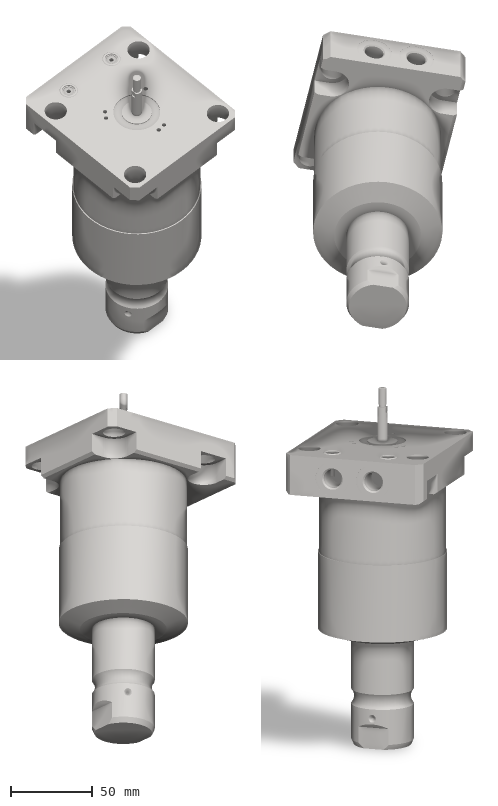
import cadquery as cq
import math


plate_y_half = 44.5
plate_right = 44.5
plate_left = -55.5
plate_thickness = 25.0
plate_corner_chamfer = 4.0
plate_edge_chamfer_height = 1.5
plate_edge_chamfer_width = 2.2

bolt_offset = 35.0
bolt_hole_diameter = 13.6
bolt_seat_depth = 12.0
bolt_clearance_width = 19.9

upper_housing_radius = 38.8
lower_housing_radius = 39.5
lower_housing_top = -69.2
housing_cone_top = -117.5
housing_cone_bottom = -121.6
housing_cone_radius = 26.5

stem_radius = 19.2
stem_bottom = -190.1
stem_groove_top = -155.3
stem_groove_bottom = -164.7
stem_groove_depth = 1.8
stem_chamfer_height = 3.3
stem_chamfer_width = 1.5
flat_distance = 16.5
flat_ramp_top = -174.0
dimple_level = -170.5
dimple_radius = 2.5
dimple_depth = 2.5
dimple_angles = (60, 180, 300)

rod_radius = 3.1
rod_tip_radius = 2.5
rod_neck_radius = 2.2
rod_neck_bottom = 21.2
rod_neck_top = 22.8
rod_top = 33.0
rod_tip_chamfer = 0.7
rod_tip_chamfer_height = 0.2
spot_level = 19.5
spot_radius = 2.12

recess_outer_radius = 14.3
recess_inner_radius = 9.1
recess_depth = 0.7

pin_circle_radius = 19.5
pin_hole_radius = 1.3
pin_hole_depth = 3.3
pin_pitch_angle = 15
pin_angles = (0, pin_pitch_angle, 120, 120 + pin_pitch_angle, 240 - pin_pitch_angle, 240)

inlet_x = -41.3
inlet_y = 18.0
seal_ring_radius = 4.7
seal_wire_radius = 1.1
seal_height = 0.5
inlet_counterbores = ((4.0, 0.5), (3.3, 1.0))
inlet_bore_radius = 1.3
inlet_depth = 15.0

port_y = 13.2
port_level = -13.0
port_radius = 5.8
port_depth = inlet_x - plate_left
port_chamfer = 1.0
port_face_radius = 10.7
port_face_depth = 0.11


def cylinder_between(radius, bottom, top):
    return cq.Workplane("XY").workplane(offset=bottom).circle(radius).extrude(top - bottom)


def clearance_box(center_x, center_y, size_x, size_y):
    """Box reaching from the bolt seat down through the underside of the plate."""
    box = cq.Workplane("XY").box(size_x, size_y, plate_thickness, centered=(True, True, False))
    return box.translate((center_x, center_y, -bolt_seat_depth - plate_thickness))


def edge_wedge(profile_plane, reach, span):
    """Triangular prism that bevels the bottom edge of the plate at coordinate reach."""
    wedge = cq.Workplane(profile_plane).polyline([
        (reach, -plate_thickness),
        (reach - math.copysign(plate_edge_chamfer_width, reach), -plate_thickness),
        (reach, -plate_thickness + plate_edge_chamfer_height),
    ])
    return wedge.close().extrude(span, both=True)


def bolt_clearance(side_x, side_y):
    """Round-ended slot open to the Y side; right-hand slots also open to the +X side."""
    x = side_x * bolt_offset
    y = side_y * bolt_offset
    reach = bolt_clearance_width
    seat = cylinder_between(bolt_clearance_width / 2, -bolt_seat_depth - plate_thickness, -bolt_seat_depth)
    slot = seat.translate((x, y, 0))
    slot = slot.union(clearance_box(x, y + side_y * reach / 2, bolt_clearance_width, reach))
    if side_x > 0:
        slot = slot.union(clearance_box(x + reach / 2, y, reach, bolt_clearance_width))
        slot = slot.union(clearance_box(x + reach / 2, y + side_y * reach / 2, reach, reach))
    return slot


def mounting_plate():
    length = plate_right - plate_left
    plate = cq.Workplane("XY").box(length, 2 * plate_y_half, plate_thickness)
    plate = plate.translate(((plate_right + plate_left) / 2, 0, -plate_thickness / 2))
    plate = plate.edges("|Z").chamfer(plate_corner_chamfer)
    plate = plate.cut(edge_wedge("YZ", plate_y_half, length))
    plate = plate.cut(edge_wedge("YZ", -plate_y_half, length))
    plate = plate.cut(edge_wedge("XZ", plate_right, length))
    bolt_hole = cylinder_between(bolt_hole_diameter / 2, -plate_thickness, 0)
    for side_x in (-1, 1):
        for side_y in (-1, 1):
            plate = plate.cut(bolt_hole.translate((side_x * bolt_offset, side_y * bolt_offset, 0)))
            plate = plate.cut(bolt_clearance(side_x, side_y))
    return plate


def housing_and_stem():
    groove_middle = (stem_groove_top + stem_groove_bottom) / 2
    profile = (
        cq.Workplane("XZ")
        .moveTo(0, -plate_thickness)
        .lineTo(upper_housing_radius, -plate_thickness)
        .lineTo(upper_housing_radius, lower_housing_top)
        .lineTo(lower_housing_radius, lower_housing_top)
        .lineTo(lower_housing_radius, housing_cone_top)
        .lineTo(housing_cone_radius, housing_cone_bottom)
        .lineTo(stem_radius, housing_cone_bottom)
        .lineTo(stem_radius, stem_groove_top)
        .threePointArc((stem_radius - stem_groove_depth, groove_middle), (stem_radius, stem_groove_bottom))
        .lineTo(stem_radius, stem_bottom + stem_chamfer_height)
        .lineTo(stem_radius - stem_chamfer_width, stem_bottom)
        .lineTo(0, stem_bottom)
        .close()
    )
    body = profile.revolve(360, (0, 0, 0), (0, 1, 0))
    for side in (-1, 1):
        body = body.cut(wrench_flat(side))
    for angle in dimple_angles:
        body = body.cut(stem_dimple(angle))
    return body


def wrench_flat(side):
    """Flat on the stem end, run out at its top by a 45 degree ramp."""
    ramp = stem_radius - flat_distance
    outer = stem_radius + ramp
    outline = cq.Workplane("XZ").polyline([
        (side * flat_distance, stem_bottom),
        (side * flat_distance, flat_ramp_top - ramp),
        (side * outer, flat_ramp_top + ramp),
        (side * outer, stem_bottom),
    ])
    return outline.close().extrude(stem_radius, both=True)


def stem_dimple(angle):
    """Conical dimple pointing at the axis."""
    cone = cq.Solid.makeCone(
        dimple_radius, 0, dimple_depth, cq.Vector(stem_radius, 0, dimple_level), cq.Vector(-1, 0, 0)
    )
    return cq.Workplane(cone).rotate((0, 0, 0), (0, 0, 1), angle)


def drawbar_rod():
    rod = cylinder_between(rod_radius, -recess_depth, rod_neck_bottom)
    rod = rod.union(cylinder_between(rod_neck_radius, rod_neck_bottom, rod_neck_top))
    tip = cylinder_between(rod_tip_radius, rod_neck_top, rod_top)
    tip = tip.faces(">Z").chamfer(rod_tip_chamfer_height, rod_tip_chamfer)
    rod = rod.union(tip)
    spot = cq.Workplane("XZ", origin=(0, -rod_tip_radius, spot_level)).circle(spot_radius).extrude(rod_radius)
    return rod.cut(spot).cut(spot.mirror("XZ"))


def rod_recess():
    ring = cq.Workplane("XY").circle(recess_outer_radius).circle(recess_inner_radius)
    return ring.extrude(-recess_depth)


def pin_holes():
    spots = [
        (pin_circle_radius * math.cos(math.radians(a)), pin_circle_radius * math.sin(math.radians(a)))
        for a in pin_angles
    ]
    return cq.Workplane("XY").pushPoints(spots).circle(pin_hole_radius).extrude(-pin_hole_depth)


def inlet_seal():
    ring = cq.Solid.makeTorus(seal_ring_radius, seal_wire_radius)
    return cq.Workplane(ring).translate((inlet_x, inlet_y, seal_height - seal_wire_radius))


def inlet_bore():
    bore = cylinder_between(inlet_bore_radius, -inlet_depth, 0)
    for radius, depth in inlet_counterbores:
        bore = bore.union(cylinder_between(radius, -depth, seal_height))
    return bore.translate((inlet_x, inlet_y, 0))


def side_port():
    """Blind port with a bevelled mouth and a shallow spot face."""
    wall = plate_left + port_face_depth
    profile = cq.Workplane("XY").polyline([
        (plate_left, 0),
        (plate_left, port_face_radius),
        (wall, port_face_radius),
        (wall, port_radius + port_chamfer),
        (wall + port_chamfer, port_radius),
        (plate_left + port_depth, port_radius),
        (plate_left + port_depth, 0),
    ])
    port = profile.close().revolve(360, (0, 0, 0), (1, 0, 0))
    return port.translate((0, port_y, port_level))


result = mounting_plate().union(housing_and_stem())
result = result.cut(rod_recess()).union(drawbar_rod()).cut(pin_holes())

seal = inlet_seal()
air_passage = inlet_bore().union(side_port())
result = result.union(seal).union(seal.mirror("XZ"))
result = result.cut(air_passage).cut(air_passage.mirror("XZ"))